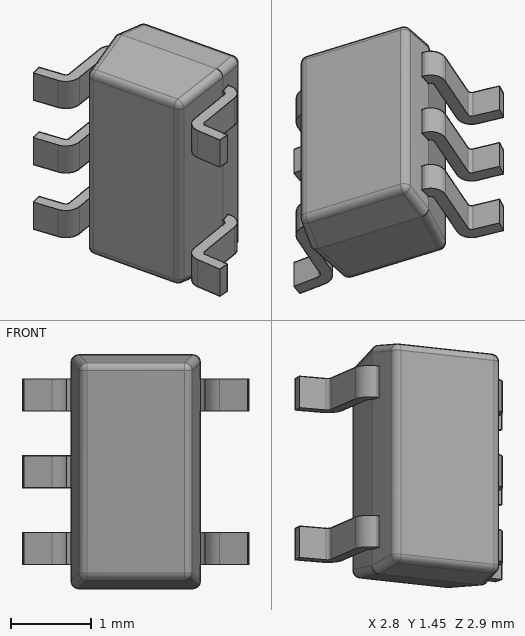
import cadquery as cq
import math


HOUSING_WIDTH = 1.6
HOUSING_LENGTH = 2.9
BACK_DEPTH = 0.5
FRONT_DEPTH = 0.8
DRAFT_ANGLE = 8.0
EDGE_RADIUS = 0.1

LEAD_THICKNESS = 0.15
LEAD_WIDTH = 0.4
LEAD_PITCH = 0.95
LEAD_SPAN = 2.8
INNER_BEND_RADIUS = 0.05
OUTER_BEND_RADIUS = INNER_BEND_RADIUS + LEAD_THICKNESS
SHANK_OUTER_X = 1.005
SHANK_INNER_X = SHANK_OUTER_X - LEAD_THICKNESS
FOOT_ANGLE = 5.0
FOOT_TIP_Y = -0.95
EMBED_DEPTH = 0.1

LEAD_PLACES = [(-1, -1), (-1, 0), (-1, 1), (1, -1), (1, 1)]


def make_housing_half(depth, direction):
    """Drafted block from the Y = 0 plane, rounded everywhere but on that plane."""
    plane = cq.Plane(origin=(0, 0, 0), xDir=(1, 0, 0), normal=(0, direction, 0))
    half = (
        cq.Workplane(plane)
        .rect(HOUSING_WIDTH, HOUSING_LENGTH)
        .extrude(depth, taper=DRAFT_ANGLE)
    )
    rounded_edges = half.edges().filter(lambda edge: abs(edge.Center().y) > EDGE_RADIUS)
    return rounded_edges.fillet(EDGE_RADIUS)


def make_lead(side, row):
    """Gull-wing lead: a flat root in the housing, a shank and a sloping foot."""
    tilt = math.radians(FOOT_ANGLE)
    along_foot = cq.Vector(math.cos(tilt), -math.sin(tilt))
    across_foot = cq.Vector(math.sin(tilt), math.cos(tilt))

    tip_upper_x = LEAD_SPAN / 2
    tip_lower = cq.Vector(tip_upper_x - LEAD_THICKNESS * math.sin(tilt), FOOT_TIP_Y)
    tip_upper = tip_lower + across_foot * LEAD_THICKNESS

    ankle_x = SHANK_OUTER_X + INNER_BEND_RADIUS
    heel_x = ankle_x - OUTER_BEND_RADIUS * math.sin(tilt)
    heel = tip_lower - along_foot * ((tip_lower.x - heel_x) / math.cos(tilt))
    ankle = heel + across_foot * OUTER_BEND_RADIUS
    instep = ankle - across_foot * INNER_BEND_RADIUS

    shoulder = cq.Vector(SHANK_INNER_X - INNER_BEND_RADIUS, -INNER_BEND_RADIUS)
    root_x = HOUSING_WIDTH / 2 - EMBED_DEPTH

    diagonal = cq.Vector(math.sqrt(0.5), math.sqrt(0.5))
    half_bend = (math.pi / 2 - tilt) / 2
    ankle_middle = cq.Vector(-math.cos(half_bend), -math.sin(half_bend))

    profile = (
        cq.Workplane("XY")
        .moveTo(root_x, LEAD_THICKNESS)
        .lineTo(shoulder.x, LEAD_THICKNESS)
        .threePointArc(
            (shoulder + diagonal * OUTER_BEND_RADIUS).toTuple()[:2],
            (SHANK_OUTER_X, shoulder.y),
        )
        .lineTo(SHANK_OUTER_X, ankle.y)
        .threePointArc(
            (ankle + ankle_middle * INNER_BEND_RADIUS).toTuple()[:2],
            instep.toTuple()[:2],
        )
        .lineTo(tip_upper.x, tip_upper.y)
        .lineTo(tip_lower.x, tip_lower.y)
        .lineTo(heel.x, heel.y)
        .threePointArc(
            (ankle + ankle_middle * OUTER_BEND_RADIUS).toTuple()[:2],
            (SHANK_INNER_X, ankle.y),
        )
        .lineTo(SHANK_INNER_X, shoulder.y)
        .threePointArc(
            (shoulder + diagonal * INNER_BEND_RADIUS).toTuple()[:2],
            (shoulder.x, 0),
        )
        .lineTo(root_x, 0)
        .close()
    )
    lead = profile.extrude(LEAD_WIDTH / 2, both=True)
    if side < 0:
        lead = lead.mirror("YZ")
    return lead.translate((0, 0, row * LEAD_PITCH))


leads = [make_lead(side, row) for side, row in LEAD_PLACES]

housing = make_housing_half(BACK_DEPTH, 1).union(make_housing_half(FRONT_DEPTH, -1))
for lead in leads:
    housing = housing.cut(lead)

result = cq.Compound.makeCompound([housing.solids().val(), *[lead.val() for lead in leads]])